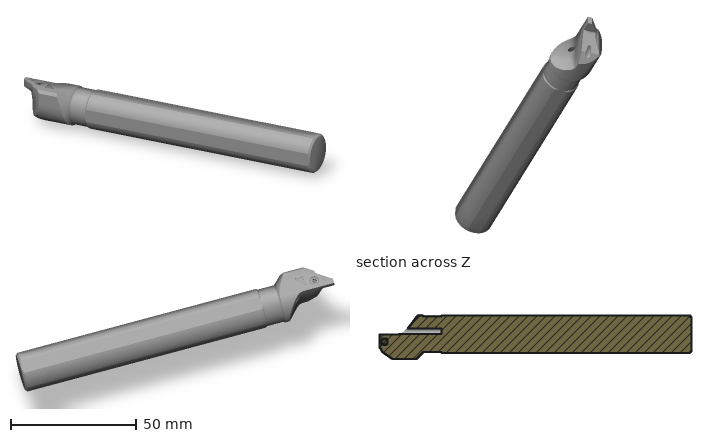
import cadquery as cq
import math

TOTAL_LENGTH = 130.0
BAR_DIAMETER = 16.0
BAR_RADIUS = BAR_DIAMETER / 2
FLAT_DISTANCE = 7.5
NECK_RADIUS = 7.5
HEAD_END_X = 22.5
NECK_END_X = 30.0
FRONT_CHAMFER = 0.4
END_CHAMFER = 0.8

TOP_Z = BAR_RADIUS
HEAD_WIDTH = 18.0
HEAD_REACH = HEAD_WIDTH - BAR_RADIUS
EDGE_CHAMFER_Y = 0.9
EDGE_CHAMFER_Z = 1.2

TIP_WIDTH = 1.8
RELIEF_START = (4.8, -5.1)
RELIEF_MIDDLE = (5.8, -5.8)
RELIEF_END = (6.4, -7.0)
FLANK_END_X = 10.5
SCOOP_START = (12.5, 0)
SCOOP_LOWER = (15.3, 1.0)
SCOOP_UPPER = (17.8, 3.8)
SCOOP_END = (20.9, BAR_RADIUS)
SCOOP_END_DIRECTION = (-1, -1.5)

NOSE_CORNER = (7.0, -4.2)
NOSE_BOTTOM_X = 10.8

INSERT_THICKNESS = 3.2
INSERT_BACK_X = 11.3
INSERT_SIDE_Y = -5.8
POCKET_SHOULDER_X = 8.7
POCKET_POINT_X = 15.1
POCKET_POINT_Y = -5.3
TAIL_DEPTH = 0.3
GROOVE_START_X = 3.1
GROOVE_LOW_X = 3.5
GROOVE_END_X = 4.7
GROOVE_DEPTH = 0.1

SCREW_X = 7.4
SCREW_Y = -3.0
SCREW_RADIUS = 1.2
SINK_DIAMETER = 3.8
SINK_RADIUS = SINK_DIAMETER / 2
SCREW_HEAD_RADIUS = 1.5
SCREW_END_Z = 2.0
SOCKET_RADIUS = 0.8
SOCKET_LOBES = 6
LOBE_RADIUS = 0.3
SOCKET_DEPTH = 0.9

COOLANT_RADIUS = 1.0
COOLANT_Y = 1.2
COOLANT_Z = 2.3
COOLANT_END_X = NECK_END_X

HEAD_STEP = BAR_RADIUS - NECK_RADIUS
NECK_START_X = HEAD_END_X + HEAD_STEP
HALF_ROOT_TWO = math.sqrt(2) / 2
NOSE_TOP_X = RELIEF_START[0]
INSERT_BOTTOM_Z = TOP_Z - INSERT_THICKNESS
SINK_DEPTH = SINK_RADIUS - SCREW_RADIUS
SCREW_TOP_Z = TOP_Z - (SINK_RADIUS - SCREW_HEAD_RADIUS)
CUT_SPAN = 4 * BAR_RADIUS


def make_head():
    section = (
        cq.Workplane("YZ")
        .moveTo(0, TOP_Z)
        .threePointArc((BAR_RADIUS, 0), (0, -BAR_RADIUS))
        .threePointArc(
            (-HEAD_REACH * HALF_ROOT_TWO, HEAD_REACH * (1 - HALF_ROOT_TWO) - BAR_RADIUS),
            (-HEAD_REACH, HEAD_REACH - BAR_RADIUS),
        )
        .lineTo(-HEAD_REACH, TOP_Z - EDGE_CHAMFER_Z)
        .lineTo(-HEAD_REACH + EDGE_CHAMFER_Y, TOP_Z)
        .close()
        .extrude(NECK_START_X)
    )
    plan = (
        cq.Workplane("XY", origin=(0, 0, -CUT_SPAN / 2))
        .moveTo(NOSE_TOP_X, 0)
        .lineTo(*RELIEF_START)
        .threePointArc(RELIEF_MIDDLE, RELIEF_END)
        .lineTo(FLANK_END_X, -HEAD_REACH)
        .lineTo(NECK_START_X, -HEAD_REACH)
        .lineTo(NECK_START_X, BAR_RADIUS)
        .lineTo(*SCOOP_END)
        .spline(
            [SCOOP_UPPER, SCOOP_LOWER, SCOOP_START],
            tangents=[SCOOP_END_DIRECTION, (-1, 0)],
            includeCurrent=True,
        )
        .close()
        .extrude(CUT_SPAN)
    )
    nose_profile = (
        cq.Workplane("XZ", origin=(0, CUT_SPAN / 2, 0))
        .moveTo(NOSE_TOP_X, TOP_Z)
        .lineTo(NOSE_TOP_X, INSERT_BOTTOM_Z)
        .lineTo(*NOSE_CORNER)
        .lineTo(NOSE_BOTTOM_X, -BAR_RADIUS)
        .lineTo(NECK_START_X, -BAR_RADIUS)
        .lineTo(NECK_START_X, TOP_Z)
        .close()
        .extrude(CUT_SPAN)
    )
    back_cone = (
        cq.Workplane("XZ")
        .polyline([(0, 0), (0, BAR_RADIUS + HEAD_END_X), (NECK_START_X, NECK_RADIUS), (NECK_START_X, 0)])
        .close()
        .revolve(360, (0, 0), (1, 0))
    )
    return section.intersect(plan).intersect(nose_profile).intersect(back_cone)


def make_shank():
    turned = (
        cq.Workplane("XZ")
        .moveTo(NECK_END_X, 0)
        .lineTo(NECK_END_X, BAR_RADIUS - FRONT_CHAMFER)
        .lineTo(NECK_END_X + FRONT_CHAMFER, BAR_RADIUS)
        .lineTo(TOTAL_LENGTH - END_CHAMFER, BAR_RADIUS)
        .lineTo(TOTAL_LENGTH, BAR_RADIUS - END_CHAMFER)
        .lineTo(TOTAL_LENGTH, 0)
        .close()
        .revolve(360, (0, 0), (1, 0))
    )
    flats = cq.Workplane("YZ").rect(2 * FLAT_DISTANCE, 2 * FLAT_DISTANCE).extrude(TOTAL_LENGTH)
    return turned.intersect(flats)


def make_neck():
    return (
        cq.Workplane("YZ", origin=(NECK_START_X, 0, 0))
        .circle(NECK_RADIUS)
        .extrude(NECK_END_X - NECK_START_X)
    )


def pocket_volume(bottom_z):
    """Prism on the pocket outline, open towards the tip and the +Y face."""
    return (
        cq.Workplane("XY", origin=(0, 0, bottom_z))
        .moveTo(0, 0)
        .lineTo(POCKET_SHOULDER_X, 0)
        .lineTo(POCKET_POINT_X, POCKET_POINT_Y)
        .lineTo(POCKET_POINT_X, INSERT_SIDE_Y)
        .lineTo(0, INSERT_SIDE_Y)
        .close()
        .extrude(TOP_Z - bottom_z)
    )


def insert_blank():
    """The part of the deep pocket ahead of the insert's back face."""
    length_limit = cq.Workplane("XY").box(INSERT_BACK_X, CUT_SPAN, CUT_SPAN, centered=(False, True, True))
    return pocket_volume(INSERT_BOTTOM_Z).intersect(length_limit)


def screw_hole(bottom_z, top_z):
    return (
        cq.Workplane("XY", origin=(SCREW_X, SCREW_Y, bottom_z))
        .circle(SCREW_RADIUS)
        .extrude(top_z - bottom_z)
    )


def make_holder():
    coolant_hole = (
        cq.Workplane("YZ", origin=(SCOOP_START[0], COOLANT_Y, COOLANT_Z))
        .circle(COOLANT_RADIUS)
        .extrude(COOLANT_END_X - SCOOP_START[0])
    )
    return (
        make_head()
        .union(make_neck())
        .union(make_shank())
        .cut(insert_blank())
        .cut(pocket_volume(TOP_Z - TAIL_DEPTH))
        .cut(screw_hole(-BAR_RADIUS, INSERT_BOTTOM_Z))
        .cut(coolant_hole)
    )


def make_insert():
    flank_plan = (
        cq.Workplane("XY")
        .moveTo(0, 0)
        .lineTo(0, -TIP_WIDTH)
        .lineTo(*RELIEF_START)
        .threePointArc(RELIEF_MIDDLE, RELIEF_END)
        .lineTo(INSERT_BACK_X, RELIEF_END[1])
        .lineTo(INSERT_BACK_X, 0)
        .close()
        .extrude(CUT_SPAN)
    )
    chip_groove = (
        cq.Workplane("XZ", origin=(0, CUT_SPAN / 2, 0))
        .moveTo(GROOVE_START_X, TOP_Z)
        .lineTo(GROOVE_LOW_X, TOP_Z - GROOVE_DEPTH)
        .lineTo(GROOVE_END_X, TOP_Z)
        .close()
        .extrude(CUT_SPAN)
    )
    countersink = cq.Workplane(
        cq.Solid.makeCone(
            SCREW_RADIUS, SINK_RADIUS, SINK_DEPTH, pnt=cq.Vector(SCREW_X, SCREW_Y, TOP_Z - SINK_DEPTH)
        )
    )
    return (
        insert_blank()
        .intersect(flank_plan)
        .cut(chip_groove)
        .cut(screw_hole(INSERT_BOTTOM_Z, TOP_Z))
        .cut(countersink)
    )


def make_screw():
    body = (
        cq.Workplane("XZ", origin=(SCREW_X, SCREW_Y, 0))
        .moveTo(0, SCREW_END_Z)
        .lineTo(SCREW_RADIUS, SCREW_END_Z)
        .lineTo(SCREW_RADIUS, TOP_Z - SINK_DEPTH)
        .lineTo(SCREW_HEAD_RADIUS, SCREW_TOP_Z)
        .lineTo(0, SCREW_TOP_Z)
        .close()
        .revolve(360, (0, 0), (0, 1))
    )
    socket_plane = cq.Workplane("XY", origin=(SCREW_X, SCREW_Y, SCREW_TOP_Z - SOCKET_DEPTH))
    socket = socket_plane.circle(SOCKET_RADIUS).extrude(SOCKET_DEPTH)
    lobes = (
        socket_plane.polarArray(SOCKET_RADIUS, 0, 360, SOCKET_LOBES)
        .circle(LOBE_RADIUS)
        .extrude(SOCKET_DEPTH)
    )
    return body.cut(socket.union(lobes))


holder = make_holder()
insert = make_insert()
screw = make_screw()

result = cq.Compound.makeCompound([holder.solids().val(), insert.solids().val(), screw.solids().val()])